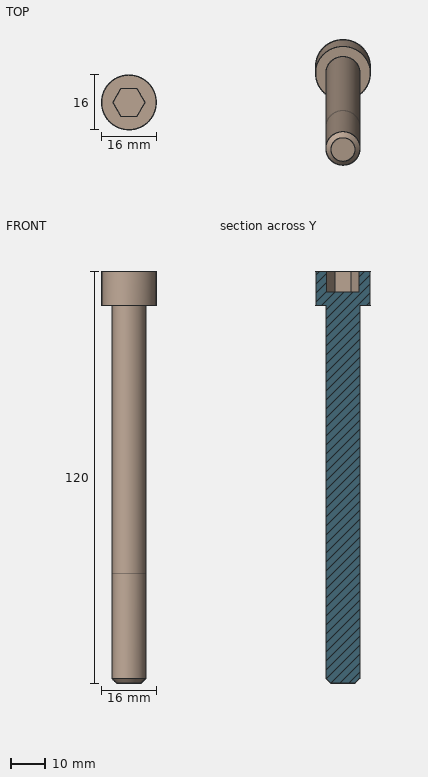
import cadquery as cq
import math

thread_diameter = 10.0
shank_length = 110.0
thread_length = 32.0
head_diameter = 16.0
head_height = thread_diameter
hex_across_flats = 8.1
hex_depth = 6.0
tip_chamfer = 1.5


def make_head():
    return cq.Workplane("XY").circle(head_diameter / 2).extrude(head_height)


def make_plain_shank():
    plain_length = shank_length - thread_length
    return cq.Workplane("XY").circle(thread_diameter / 2).extrude(-plain_length)


def make_threaded_end():
    """Smooth cylinder at the nominal thread diameter, with a chamfered tip."""
    return (
        cq.Workplane("XY", origin=(0, 0, -shank_length))
        .circle(thread_diameter / 2)
        .extrude(thread_length)
        .faces("<Z")
        .chamfer(tip_chamfer)
    )


def make_hex_socket():
    """Hexagonal recess with two opposite corners on the X axis."""
    across_corners = hex_across_flats / math.cos(math.radians(30))
    return (
        cq.Workplane("XY", origin=(0, 0, head_height))
        .polygon(6, across_corners)
        .extrude(-hex_depth)
    )


screw = make_head().union(make_plain_shank(), clean=False)
screw = screw.union(make_threaded_end(), clean=False)
result = screw.cut(make_hex_socket(), clean=False)